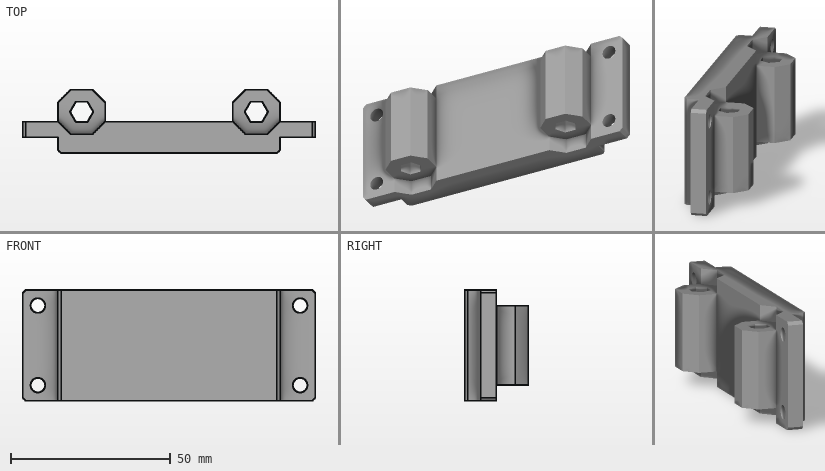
import cadquery as cq

length = 92.0
height = 35.0
flange_thickness = 5.0
plate_thickness = 2 * flange_thickness
ear_width = 11.0
edge_chamfer = 1.0
block_length = length - 2 * ear_width

hole_diameter = 4.5
hole_edge_offset = 4.8
hole_spacing_z = 25.0

total_depth = 20.0
boss_width = 15.0
boss_depth = 14.0
boss_corner = 4.05
boss_height = 25.0
boss_x = block_length / 2 - boss_width / 2
boss_y = total_depth - boss_depth / 2
hex_across_corners = 7.3


def make_plate():
    """Rear flange with clipped corners plus the thicker front block."""
    flange = (
        cq.Workplane("XY")
        .box(length, flange_thickness, height)
        .edges("|Y")
        .chamfer(edge_chamfer)
        .translate((0, plate_thickness - flange_thickness / 2, 0))
    )
    block = (
        cq.Workplane("XY")
        .box(block_length, plate_thickness, height)
        .translate((0, plate_thickness / 2, 0))
        .edges("|Z and <Y")
        .chamfer(edge_chamfer)
    )
    return flange.union(block)


def make_screw_holes():
    return (
        cq.Workplane("XZ")
        .rect(length - 2 * hole_edge_offset, hole_spacing_z, forConstruction=True)
        .vertices()
        .circle(hole_diameter / 2)
        .extrude(-plate_thickness)
    )


def octagon_prism(x, prism_height):
    return (
        cq.Workplane("XY")
        .box(boss_width, boss_depth, prism_height)
        .edges("|Z")
        .chamfer(boss_corner)
        .translate((x, boss_y, 0))
    )


def hex_bore(x):
    return (
        cq.Workplane("XY")
        .center(x, boss_y)
        .polygon(6, hex_across_corners)
        .extrude(height / 2, both=True)
    )


result = make_plate().cut(make_screw_holes())

for x in (-boss_x, boss_x):
    result = result.cut(octagon_prism(x, height))
    result = result.union(octagon_prism(x, boss_height))
    result = result.cut(hex_bore(x))